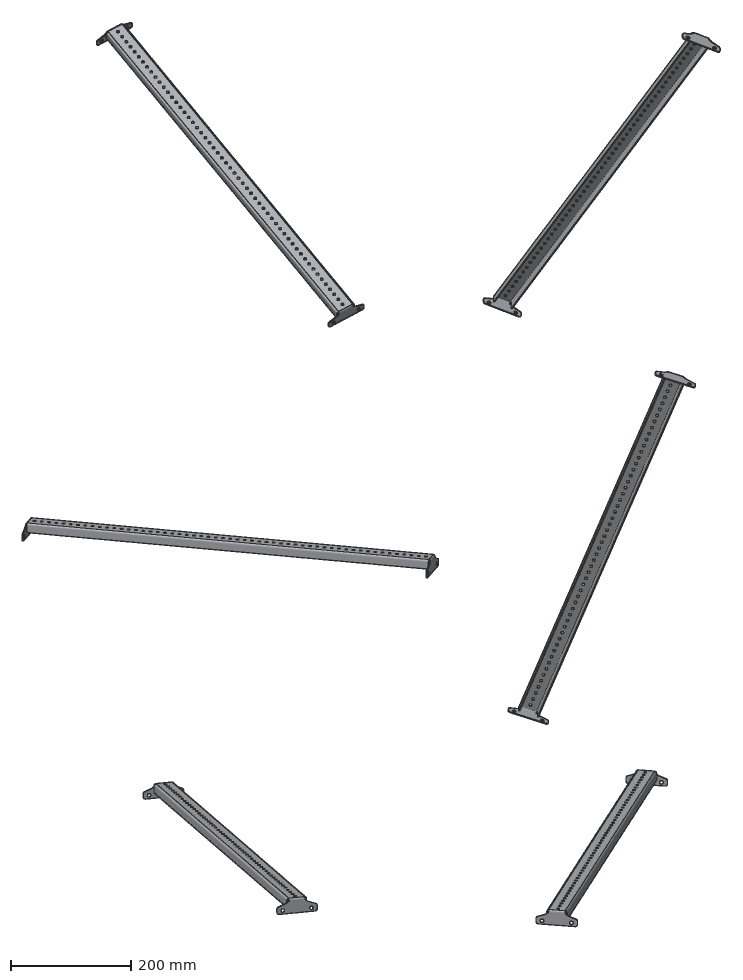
import cadquery as cq

length = 699.0
plate_width = 70.6
height = 26.0

sheet = 2.0
bend_radius = 4.0
channel_width = 35.0
channel_depth = 16.0
flange_gap = 3.0

neck_half_width = 14.0
shoulder_half_width = 20.0
shoulder_drop = 8.5
wing_drop = 14.0
wing_corner_radius = 4.0
mount_hole_diameter = 6.0
mount_hole_spacing = 50.0
mount_hole_height = 6.0

row_hole_diameter = 4.6
row_pitch = 12.5
row_count = 55



def rounded_bar(plane, span, top, bottom, run, radius):
    """Bar running along the normal of the plane, with its two long upper edges rounded."""
    run_axis = "|X" if plane == "YZ" else "|Y"
    return (
        cq.Workplane(plane)
        .center(0, (top + bottom) / 2)
        .rect(span, top - bottom)
        .extrude(run / 2, both=True)
        .faces(">Z")
        .edges(run_axis)
        .fillet(radius)
    )


def folded_strip(plane, span, depth, run):
    """Sheet folded down along both sides of a flat top."""
    bottom = height - depth
    outside = rounded_bar(plane, span, height, bottom, run, bend_radius)
    inside = rounded_bar(plane, span - 2 * sheet, height - sheet, bottom, run, bend_radius - sheet)
    return outside.cut(inside)


def end_plate_prism():
    """Prism along X with the outline of the end plates, rounded at the four wing corners."""
    half_width = plate_width / 2
    positive_side = [
        (half_width, 0),
        (half_width, height - wing_drop),
        (shoulder_half_width, height - shoulder_drop),
        (neck_half_width, height - bend_radius),
        (neck_half_width, height),
    ]
    negative_side = [(-y, z) for y, z in reversed(positive_side)]
    prism = (
        cq.Workplane("YZ")
        .polyline(positive_side + negative_side)
        .close()
        .extrude(length / 2, both=True)
    )
    return prism.faces("<Y or >Y").edges("|X").fillet(wing_corner_radius)


def mount_holes():
    """Two cylinders that pass through both end plates."""
    return (
        cq.Workplane("YZ")
        .center(0, mount_hole_height)
        .rarray(mount_hole_spacing, 1, 2, 1)
        .circle(mount_hole_diameter / 2)
        .extrude(length / 2, both=True)
    )


def row_holes():
    """Evenly spaced cylinders that pass through the top panel."""
    return (
        cq.Workplane("XY")
        .rarray(row_pitch, 1, row_count, 1)
        .circle(row_hole_diameter / 2)
        .extrude(height)
    )


channel = folded_strip("YZ", channel_width, channel_depth, length - 2 * flange_gap)
end_plates = folded_strip("XZ", length, height, plate_width).intersect(end_plate_prism())

result = channel.union(end_plates).cut(mount_holes()).cut(row_holes())